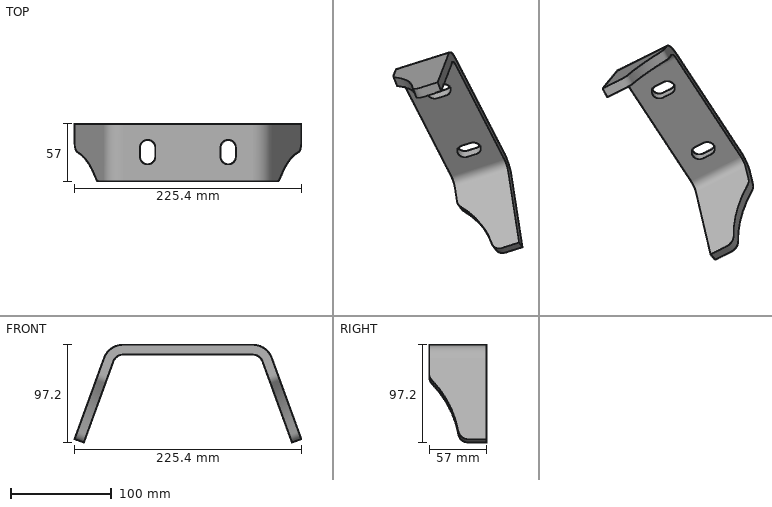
import cadquery as cq
import math

overall_length = 225.36
depth = 57.0
overall_height = 97.24

thickness = 10.0
bend_outer_radius = 20.0
leg_slope = 70.0

foot_width = 27.0
scoop_height = 65.0
scoop_radius = 106.0
corner_radius = 10.0

slot_spacing = 80.0
slot_width = 15.0
slot_length = 24.0
slot_front_offset = 29.0

bend_inner_radius = bend_outer_radius - thickness
slope_sin = math.sin(math.radians(leg_slope))
slope_cos = math.cos(math.radians(leg_slope))
leg_length = (overall_height - bend_outer_radius + bend_inner_radius * slope_cos) / slope_sin
plate_half_length = overall_length / 2 - bend_outer_radius * slope_sin - leg_length * slope_cos
back_y = depth / 2
slot_y = slot_front_offset - depth / 2


def make_top_plate():
    """Flat plate between the two bends, with two through slots."""
    plate = cq.Workplane("XY").box(
        2 * plate_half_length, depth, thickness, centered=(True, True, False)
    )
    slots = (
        cq.Workplane("XY")
        .pushPoints([(-slot_spacing / 2, slot_y), (slot_spacing / 2, slot_y)])
        .slot2D(slot_length, slot_width, 90)
        .extrude(thickness)
    )
    return plate.cut(slots).translate((0, 0, -thickness))


def on_left_bend(radius, angle):
    """XZ point on the left bend, at an angle (degrees) turned from the vertical."""
    turn = math.radians(angle)
    return (
        -plate_half_length - radius * math.sin(turn),
        -bend_outer_radius + radius * math.cos(turn),
    )


def make_left_bend():
    """Curved piece joining the top plate to the left leg."""
    return (
        cq.Workplane("XZ", origin=(0, back_y, 0))
        .moveTo(*on_left_bend(bend_outer_radius, 0))
        .threePointArc(
            on_left_bend(bend_outer_radius, leg_slope / 2),
            on_left_bend(bend_outer_radius, leg_slope),
        )
        .lineTo(*on_left_bend(bend_inner_radius, leg_slope))
        .threePointArc(
            on_left_bend(bend_inner_radius, leg_slope / 2),
            on_left_bend(bend_inner_radius, 0),
        )
        .close()
        .extrude(depth)
    )


def make_left_leg():
    """Sloping leg with a concave scooped front edge and rounded scoop ends."""
    bend_end_x, bend_end_z = on_left_bend(bend_outer_radius, leg_slope)
    foot_corner = (
        bend_end_x - leg_length * slope_cos,
        back_y,
        bend_end_z - leg_length * slope_sin,
    )
    outer_face = cq.Plane(origin=foot_corner, xDir=(0, -1, 0), normal=(-slope_sin, 0, slope_cos))
    scoop_bottom = (foot_width, 0)
    scoop_top = (depth, scoop_height)
    scoop_chord = math.dist(scoop_bottom, scoop_top)
    scoop_sag = scoop_radius - math.sqrt(scoop_radius**2 - (scoop_chord / 2) ** 2)
    leg = (
        cq.Workplane(outer_face)
        .lineTo(*scoop_bottom)
        .sagittaArc(scoop_top, scoop_sag)
        .lineTo(depth, leg_length)
        .lineTo(0, leg_length)
        .close()
        .extrude(-thickness)
    )
    for corner in (scoop_bottom, scoop_top):
        middle = outer_face.toWorldCoords((*corner, -thickness / 2))
        leg = leg.edges(cq.NearestToPointSelector(middle)).fillet(corner_radius)
    return leg


left_side = make_left_bend().union(make_left_leg())
right_side = left_side.mirror("YZ")
result = make_top_plate().union(left_side).union(right_side)